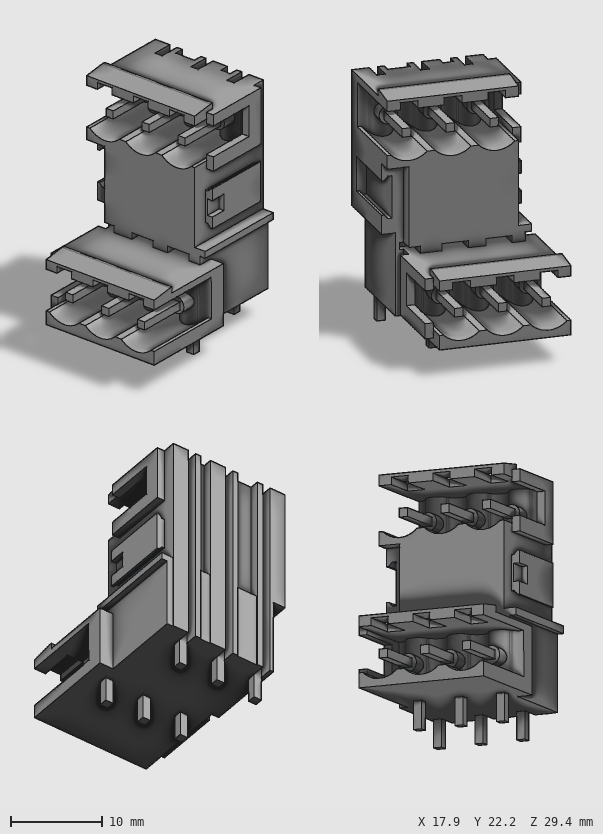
import cadquery as cq
import math


total_height = 29.4

ways = 3
pitch = 5.1
pin_size = 1.0

level_width = ways * pitch
level_depth = 11.97
plate_top = 7.7
ceiling = 6.85
floor_peak = 1.7
floor_trough = 0.85
ridge_width = 0.9
contact_height = 3.82
contact_tip = 11.1
tail_depth = 2.1

shift_x = pitch / 2
shift_depth = 2 * pitch
shift_z = 3.5 * pitch

bulge_front = 3.55
bulge_radius = 1.47
flank_angle = 60
flank_length = 0.3
wall_lean = 1.0

collar_radius = 1.05
collar_front = 4.97

lip_rear = 8.85
lip_crest = 9.18
lip_height = 0.74
lip_front_height = 0.35
key_width = 2.05
key_rear = 7.88

solder_tail = total_height - shift_z - plate_top - lip_height

flange_thickness = 0.97
flange_rear = 1.65
flange_front = 9.9
flange_bottom = 0.74
mouth_rear = 3.68
mouth_bottom = 2.5
mouth_top = 6.32

column_left = 1.6
column_right = 16.03
column_front = 10.1
overhang_z = 9.7
corner_top = 17.95
rail_right = 16.75
rail_bottom = 8.75
rail_top = 9.62
rear_setback = 0.12
foot_gap_top = 8.53
foot_gap_length = 0.85
foot_gaps = [(2.1, 3.85), (6.38, 9.4), (11.45, 14.5)]
rear_pockets = [(3.8, 6.45), (10.2, 11.5)]
rear_pocket_depth = 1.15

dovetail_z = 13.95
dovetail_neck = 4.0
dovetail_head = 4.95
dovetail_rear = 1.68
groove_depth = 1.18
tongue_neck = 0.3
tongue_slope = 0.74
tongue_reach = 0.97
notch_height = 2.03
notch_start = 0.3
notch_depth = 2.03


def box(x_range, depth_range, z_range):
    """Block between two X values, two depths and two heights."""
    x0, x1 = x_range
    d0, d1 = depth_range
    z0, z1 = z_range
    return cq.Workplane("XY").box(x1 - x0, d1 - d0, z1 - z0, centered=False).translate((x0, -d1, z0))


def chamber():
    """Plug space of one level: wavy rear wall, troughed floor, open front and sides."""
    sine = math.sin(math.radians(flank_angle))
    cosine = math.cos(math.radians(flank_angle))
    flank_start = bulge_radius * sine
    flank_front = bulge_front - bulge_radius * (1 - cosine)
    flank_end = flank_start + flank_length * cosine
    flank_rear = flank_front - flank_length * sine
    hollow_radius = (pitch / 2 - flank_end) / sine
    hollow_rear = flank_rear - hollow_radius * (1 - cosine)
    mid_angle = math.radians(flank_angle / 2)
    mid_run = hollow_radius * math.sin(mid_angle)
    mid_rear = hollow_rear + hollow_radius * (1 - math.cos(mid_angle))

    stock_depth = 2 * level_depth
    stock_height = 2 * ceiling
    plan = cq.Workplane("XY").moveTo(0, -stock_depth).lineTo(0, -hollow_rear)
    for way in range(ways):
        left = way * pitch
        middle = left + pitch / 2
        right = left + pitch
        plan = (
            plan.threePointArc((left + mid_run, -mid_rear), (middle - flank_end, -flank_rear))
            .lineTo(middle - flank_start, -flank_front)
            .threePointArc((middle, -bulge_front), (middle + flank_start, -flank_front))
            .lineTo(middle + flank_end, -flank_rear)
            .threePointArc((right - mid_run, -mid_rear), (right, -hollow_rear))
        )
    space = plan.lineTo(level_width, -stock_depth).close().extrude(stock_height)
    space = space.rotate((0, 0, 0), (1, 0, 0), wall_lean)

    section = cq.Workplane("XZ").moveTo(0, ceiling).lineTo(0, floor_peak)
    for way in range(ways):
        left = way * pitch
        right = left + pitch
        section = (
            section.lineTo(left + ridge_width / 2, floor_peak)
            .threePointArc((left + pitch / 2, floor_trough), (right - ridge_width / 2, floor_peak))
            .lineTo(right, floor_peak)
        )
    return space.intersect(section.lineTo(level_width, ceiling).close().extrude(level_depth))


def end_flange(left):
    """C-shaped flange whose left face is at the given X."""
    span = (left, left + flange_thickness)
    flange = box(span, (flange_rear, flange_front), (flange_bottom, plate_top))
    return flange.cut(box(span, (mouth_rear, flange_front), (mouth_bottom, mouth_top)))


def latch_lip():
    """Raised lip with a sloping top along the front of the roof plate."""
    profile = [
        (-lip_rear, ceiling),
        (-lip_rear, plate_top + lip_height),
        (-lip_crest, plate_top + lip_height),
        (-level_depth, plate_top + lip_front_height),
        (-level_depth, ceiling),
    ]
    return cq.Workplane("YZ").polyline(profile).close().extrude(level_width)


def header_level(rear, bottom, flange_left):
    """One row of plug chambers, solid back to the given depth and down to the given height."""
    level = box((0, level_width), (rear, level_depth), (bottom, plate_top))
    level = level.cut(chamber()).union(latch_lip()).union(end_flange(flange_left))
    for way in range(ways):
        middle = (way + 0.5) * pitch
        key_span = (middle - key_width / 2, middle + key_width / 2)
        level = level.cut(box(key_span, (key_rear, level_depth), (ceiling, plate_top)))
        collar = (
            cq.Workplane("XZ", origin=(middle, -tail_depth, contact_height))
            .circle(collar_radius)
            .extrude(collar_front - tail_depth)
        )
        level = level.union(collar)
    return level


def column():
    """Column below the upper level, with its front foot and its side rail."""
    stem = box((column_left, level_width), (0, column_front), (0, overhang_z))
    side = box((level_width, column_right), (rear_setback, column_front), (0, rail_top))
    foot = box((shift_x, column_right), (rear_setback, level_depth), (plate_top, rail_top))
    front = box((shift_x, level_width), (rear_setback, level_depth), (rail_bottom, corner_top))
    rail = box((level_width, rail_right), (rear_setback, level_depth), (rail_bottom, rail_top))
    return stem.union(side).union(foot).union(front).union(rail)


def dovetail_section(points, depth_range):
    """Prism along Y from the (X, half height) points of the upper half of a dovetail."""
    upper = [(x, dovetail_z + half) for x, half in points]
    lower = [(x, dovetail_z - half) for x, half in reversed(points)]
    d0, d1 = depth_range
    return cq.Workplane("XZ", origin=(0, -d0, 0)).polyline(upper + lower).close().extrude(d1 - d0)


def dovetail_groove():
    """Recess in the left side that widens inwards."""
    points = [
        (0, dovetail_neck / 2),
        (tongue_neck, dovetail_neck / 2),
        (tongue_slope, dovetail_head / 2),
        (groove_depth, dovetail_head / 2),
    ]
    return dovetail_section(points, (dovetail_rear, column_front))


def dovetail_tongue():
    """Tongue on the right side that widens outwards, notched at its front."""
    points = [
        (level_width, dovetail_neck / 2),
        (level_width + tongue_neck, dovetail_neck / 2),
        (level_width + tongue_slope, dovetail_head / 2),
        (level_width + tongue_reach, dovetail_head / 2),
    ]
    notch = box(
        (level_width + notch_start, level_width + tongue_reach),
        (column_front - notch_depth, column_front),
        (dovetail_z - notch_height / 2, dovetail_z + notch_height / 2),
    )
    return dovetail_section(points, (dovetail_rear, column_front)).cut(notch)


def make_pin(x, tail, height, tip):
    """Bent square pin: solder tail at one depth, contact at one height reaching the tip depth."""
    half = pin_size / 2
    span = (x - half, x + half)
    stem = box(span, (tail - half, tail + half), (-solder_tail, height + half))
    contact = box(span, (tail, tip), (height - half, height + half))
    return stem.union(contact)


def make_housing(pins):
    """Two-level housing with holes and rear channels for the pins."""
    upper = header_level(0, overhang_z - shift_z, level_width).translate((0, 0, shift_z))
    upper = upper.cut(box((0, shift_x), (column_front, level_depth), (0, corner_top)))
    lower = header_level(column_front - shift_depth, 0, -flange_thickness)
    lower = lower.translate((shift_x, -shift_depth, 0))
    body = upper.union(column()).union(lower)
    body = body.union(dovetail_tongue()).cut(dovetail_groove())

    for gap in foot_gaps:
        body = body.cut(box(gap, (column_front - foot_gap_length, level_depth), (plate_top, foot_gap_top)))
    roof = shift_z + plate_top
    for pocket in rear_pockets:
        body = body.cut(box(pocket, (0, rear_pocket_depth), (rail_top, roof)))
        body = body.cut(box(pocket, (0, rear_setback), (0, rail_top)))
    for way in range(ways):
        x = (way + 0.5) * pitch
        channel = (x - pin_size / 2, x + pin_size / 2)
        body = body.cut(box(channel, (0, tail_depth + pin_size / 2), (0, roof)))
    for pin in pins:
        body = body.cut(pin)
    return body.solids()


upper_xs = [(way + 0.5) * pitch for way in range(ways)]
upper_height = contact_height + shift_z
pins = [make_pin(x, tail_depth, upper_height, contact_tip) for x in upper_xs]
pins += [
    make_pin(x + shift_x, tail_depth + shift_depth, contact_height, contact_tip + shift_depth)
    for x in upper_xs
]

housing = make_housing(pins)
result = cq.Compound.makeCompound([housing.val(), *[pin.val() for pin in pins]])